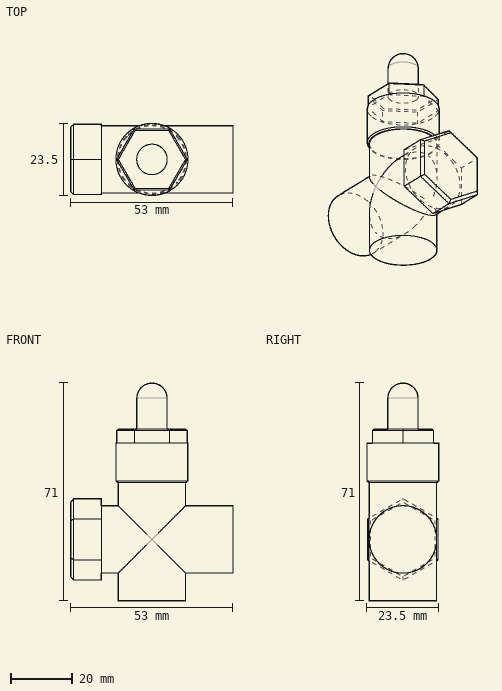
import cadquery as cq
import math

tube_radius = 11.0
crossing_height = 20.0
half_length = 26.5

cap_flats = 23.0
cap_length = 10.0
cap_chamfer = 1.0

collar_diameter = 23.5
collar_bottom = 38.6
collar_top = 51.4
collar_chamfer = 0.5
nut_flats = 19.95
nut_top = 55.95
nut_chamfer = 0.5
pin_radius = 5.0
pin_top = 71.0


def hex_prism(plane, flats, height, chamfer, turn):
    """Hexagonal prism whose far end has beveled edges; turn rotates its corners."""
    corner_diameter = flats / math.cos(math.pi / 6)
    return (
        cq.Workplane(plane)
        .transformed(rotate=(0, 0, turn))
        .polygon(6, corner_diameter)
        .extrude(height)
        .faces(cq.selectors.DirectionMinMaxSelector(plane.zDir, True))
        .chamfer(chamfer)
    )


def crossed_tubes():
    vertical = cq.Workplane("XY").circle(tube_radius).extrude(collar_bottom)
    horizontal = (
        cq.Workplane("YZ", origin=(cap_length - half_length, 0, crossing_height))
        .circle(tube_radius)
        .extrude(2 * half_length - cap_length)
    )
    return vertical.union(horizontal)


def end_cap():
    inner_face = cq.Plane(
        origin=(cap_length - half_length, 0, crossing_height),
        xDir=(0, 1, 0),
        normal=(-1, 0, 0),
    )
    return hex_prism(inner_face, cap_flats, cap_length, cap_chamfer, 90)


def collar():
    return (
        cq.Workplane("XY", origin=(0, 0, collar_bottom))
        .circle(collar_diameter / 2)
        .extrude(collar_top - collar_bottom)
        .faces("<Z")
        .chamfer(collar_chamfer)
    )


def top_nut():
    seat = cq.Plane(origin=(0, 0, collar_top))
    return hex_prism(seat, nut_flats, nut_top - collar_top, nut_chamfer, 0)


def pin():
    return (
        cq.Workplane("XZ")
        .moveTo(0, nut_top)
        .lineTo(pin_radius, nut_top)
        .lineTo(pin_radius, pin_top - pin_radius)
        .radiusArc((0, pin_top), -pin_radius)
        .close()
        .revolve(360, (0, 0, 0), (0, 1, 0))
    )


result = crossed_tubes().union(end_cap()).union(collar()).union(top_nut()).union(pin())